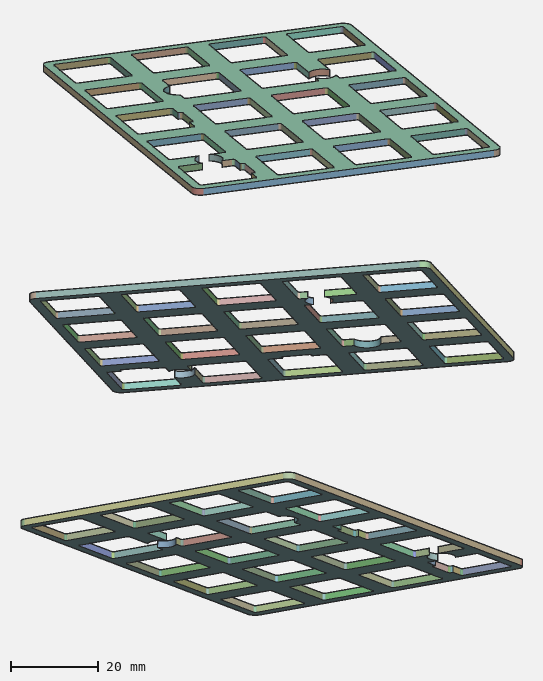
import cadquery as cq

plate_length = 94.95
plate_width = 75.7
plate_thickness = 1.6
plate_corner_radius = 2.1

grid_center_x = -0.1
columns = 5
rows = 4
pitch = 19.1
window_size = 14.0
window_corner_radius = 0.5

clearance_radius = 3.2
clearance_centers = [
    (-16.4, pitch),
    (-18.1, -15.9),
    (29.0, -27.1),
]

notch_width = 7.0
notch_depth = 1.0
notched_columns = [2, 4]


def column_x(column):
    """X of a window column's center, counted from the left."""
    return grid_center_x + (column - (columns - 1) / 2) * pitch


def row_y(row):
    """Y of a window row's center, counted from the bottom."""
    return (row - (rows - 1) / 2) * pitch


def full_depth_block(length, width, center):
    """Rectangular block as thick as the plate, standing on Z = 0."""
    return cq.Workplane("XY").center(*center).rect(length, width).extrude(plate_thickness)


plate = full_depth_block(plate_length, plate_width, (0, 0))
plate = plate.edges("|Z").fillet(plate_corner_radius)

for column in range(columns):
    for row in range(rows):
        window = full_depth_block(window_size, window_size, (column_x(column), row_y(row)))
        plate = plate.cut(window.edges("|Z").fillet(window_corner_radius))

notch_reach = window_size / 2 + notch_depth
for column in notched_columns:
    notch_center = (column_x(column), row_y(0) + notch_reach / 2)
    notch = full_depth_block(notch_width, notch_reach, notch_center)
    plate = plate.cut(notch.edges("|Z and >Y").fillet(window_corner_radius))

clearance_holes = (
    cq.Workplane("XY")
    .pushPoints(clearance_centers)
    .circle(clearance_radius)
    .extrude(plate_thickness)
)
result = plate.cut(clearance_holes)